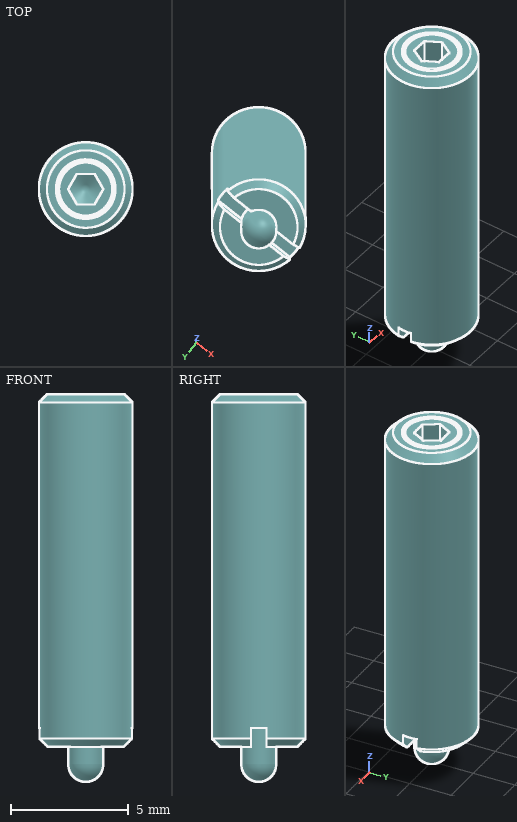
import cadquery as cq
import math

housing_diameter = 4.0
housing_length = 15.0
housing_chamfer = 0.35

slot_width = 0.65
slot_depth = 0.8

groove_diameter = 2.4
groove_depth = 0.07

socket_across_flats = 1.3
socket_depth = 1.3
drill_point_angle = 120.0

pin_diameter = 1.5
pin_projection = 1.5
pin_seat_depth = 2 * pin_diameter

pin_radius = pin_diameter / 2


def revolve_about_z(profile):
    return profile.close().revolve(360, (0, 0, 0), (0, 1, 0))


def make_blank():
    return (
        cq.Workplane("XY")
        .circle(housing_diameter / 2)
        .extrude(housing_length)
        .faces("<Z or >Z")
        .chamfer(housing_chamfer)
    )


def make_slot():
    return cq.Workplane("XY").box(
        housing_diameter, slot_width, slot_depth, centered=(True, True, False)
    )


def make_pin_bore():
    return cq.Workplane("XY").circle(pin_radius).extrude(pin_seat_depth)


def make_ring_groove():
    groove_radius = groove_diameter / 2
    profile = (
        cq.Workplane("XZ")
        .moveTo(groove_radius - groove_depth, housing_length)
        .lineTo(groove_radius, housing_length - groove_depth)
        .lineTo(groove_radius + groove_depth, housing_length)
    )
    return revolve_about_z(profile)


def make_socket():
    """Hexagon with corners on X, whose floor cone spans its corners."""
    corner_radius = socket_across_flats / 2 / math.cos(math.radians(30))
    floor_z = housing_length - socket_depth
    tip_z = floor_z - corner_radius / math.tan(math.radians(drill_point_angle / 2))
    hexagon = (
        cq.Workplane("XY")
        .workplane(offset=tip_z)
        .polygon(6, 2 * corner_radius)
        .extrude(housing_length - tip_z)
    )
    drill_profile = (
        cq.Workplane("XZ")
        .moveTo(0, tip_z)
        .lineTo(corner_radius, floor_z)
        .lineTo(corner_radius, housing_length)
        .lineTo(0, housing_length)
    )
    return hexagon.intersect(revolve_about_z(drill_profile))


def make_housing():
    return (
        make_blank()
        .cut(make_slot())
        .cut(make_pin_bore())
        .cut(make_ring_groove())
        .cut(make_socket())
    )


def make_pin():
    """Straight pin with a hemispherical nose pointing down."""
    profile = (
        cq.Workplane("XZ")
        .moveTo(0, -pin_projection)
        .radiusArc((pin_radius, pin_radius - pin_projection), -pin_radius)
        .lineTo(pin_radius, pin_seat_depth)
        .lineTo(0, pin_seat_depth)
    )
    return revolve_about_z(profile)


housing = make_housing()
pin = make_pin()

result = cq.Compound.makeCompound([housing.val(), pin.val()])